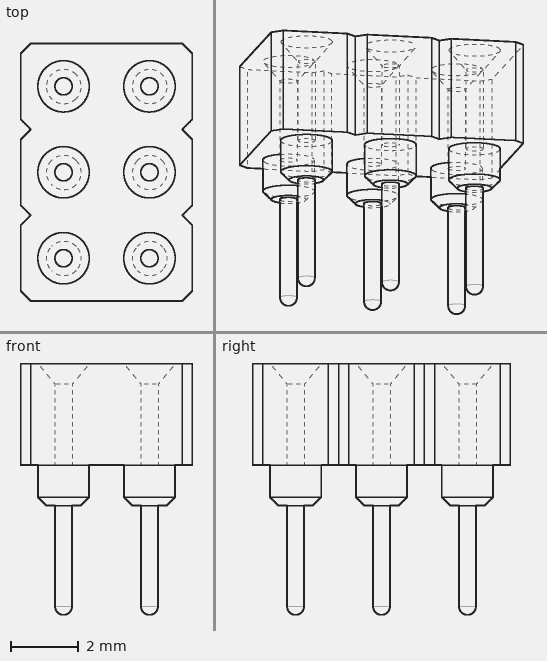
import cadquery as cq

pitch = 2.54
columns = 2
rows = 3

body_height = 3.0
notch = 0.3
body_width = columns * pitch
body_length = rows * pitch

collar_diameter = 1.52
collar_height = 1.2
collar_chamfer = 0.25

overall_height = 7.43
pin_diameter = 0.51
pin_radius = pin_diameter / 2
pin_length = overall_height - body_height

bore_diameter = pin_diameter
bore_depth = body_height

funnel_diameter = collar_diameter
funnel_depth = 0.6

pin_positions = [
    ((column - (columns - 1) / 2) * pitch, (row - (rows - 1) / 2) * pitch)
    for column in range(columns)
    for row in range(rows)
]


def make_body():
    """Block with bevelled vertical corners and V-notches between the rows on both long sides."""
    body = cq.Workplane("XY").box(body_width, body_length, body_height, centered=(True, True, False))
    body = body.edges("|Z").chamfer(notch)
    for boundary in range(1, rows):
        y = boundary * pitch - body_length / 2
        for side in (-1, 1):
            outer_x = side * body_width / 2
            v_notch = (
                cq.Workplane("XY")
                .moveTo(outer_x, y - notch)
                .lineTo(outer_x - side * notch, y)
                .lineTo(outer_x, y + notch)
                .close()
                .extrude(body_height)
            )
            body = body.cut(v_notch)
    return body


def make_contact():
    """Collar and round-tipped pin hanging below the housing, centred on the Z axis."""
    collar = cq.Workplane("XY").circle(collar_diameter / 2).extrude(-collar_height)
    collar = collar.faces("<Z").chamfer(collar_chamfer)
    pin = cq.Workplane("XY").circle(pin_radius).extrude(pin_radius - pin_length)
    tip = cq.Workplane("XY").sphere(pin_radius).translate((0, 0, pin_radius - pin_length))
    return collar.union(pin).union(tip)


def make_socket():
    """Conical lead-in and blind bore opening at the top face, centred on the Z axis."""
    top_plane = cq.Workplane("XY", origin=(0, 0, body_height))
    bore = top_plane.circle(bore_diameter / 2).extrude(-bore_depth)
    funnel = (
        top_plane.circle(funnel_diameter / 2)
        .workplane(offset=-funnel_depth)
        .circle(bore_diameter / 2)
        .loft()
    )
    return bore.union(funnel)


contact = make_contact()
socket = make_socket()

result = make_body()
for x, y in pin_positions:
    result = result.union(contact.translate((x, y, 0)))
    result = result.cut(socket.translate((x, y, 0)))